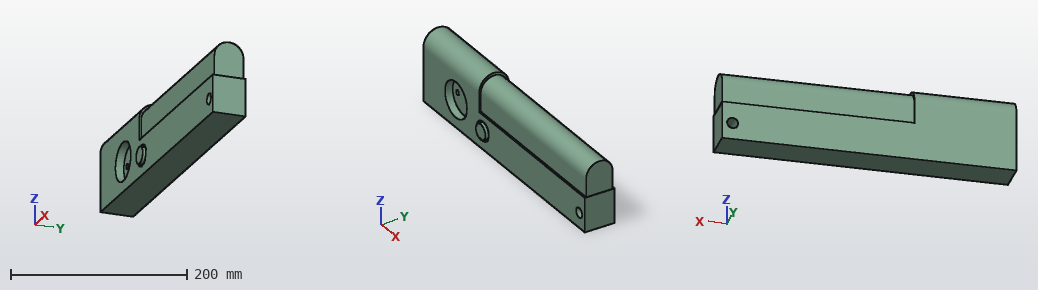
import cadquery as cq

length = 345.0
width = 40.0
height = 91.0

head_length = 119.4
ledge_height = 45.5
ledge_width = 2.2
end_gap = 0.8
handle_length = length - head_length - end_gap
handle_width = width - 2 * ledge_width
handle_height = 87.45

socket_x = 69.9
socket_z = 36.6
socket_diameter = 47.0
socket_taper = 3.0
socket_depth = 10.0
pin_hole_diameter = 6.0
pin_spacing = 25.5
pin_hole_depth = 10.0

button_x = 127.0
button_z = 24.0
button_diameter = 20.25
button_projection = 2.86
recess_diameter = 25.5
recess_depth = 2.0

hanging_hole_x = 332.75
hanging_hole_z = 20.0
hanging_hole_diameter = 12.75

front_y = -width / 2


def rounded_bar(start_x, bar_length, bar_width, bar_height):
    """Bar along X with its base at Z = 0 and a half-round top."""
    half_width = bar_width / 2
    shoulder = bar_height - half_width
    return (
        cq.Workplane("YZ", origin=(start_x, 0, 0))
        .moveTo(-half_width, 0)
        .lineTo(half_width, 0)
        .lineTo(half_width, shoulder)
        .threePointArc((0, bar_height), (-half_width, shoulder))
        .close()
        .extrude(bar_length)
    )


def front_plane(x, y, z):
    """Workplane whose normal points into the part, along +Y."""
    return cq.Workplane(cq.Plane(origin=(x, y, z), xDir=(1, 0, 0), normal=(0, 1, 0)))


def front_cylinder(x, y, z, diameter, depth):
    """Cylinder running from y toward +Y."""
    return front_plane(x, y, z).circle(diameter / 2).extrude(depth)


def make_body():
    head = rounded_bar(0, head_length, width, height)
    base = cq.Workplane("XY").box(length, width, ledge_height, centered=(False, True, False))
    handle = rounded_bar(head_length, handle_length, handle_width, handle_height)
    return head.union(base).union(handle)


def cut_socket(body):
    mouth = front_plane(socket_x, front_y, socket_z).circle(socket_diameter / 2)
    cup = mouth.extrude(socket_depth, taper=socket_taper)
    body = body.cut(cup)
    floor_y = front_y + socket_depth
    for side in (-1, 1):
        pin_x = socket_x + side * pin_spacing / 2
        body = body.cut(front_cylinder(pin_x, floor_y, socket_z, pin_hole_diameter, pin_hole_depth))
    return body


def add_button(body):
    recess = front_cylinder(button_x, front_y, button_z, recess_diameter, recess_depth)
    button_length = button_projection + recess_depth
    button = front_cylinder(
        button_x, front_y - button_projection, button_z, button_diameter, button_length
    )
    return body.cut(recess).union(button)


def cut_hanging_hole(body):
    hole = front_cylinder(hanging_hole_x, front_y, hanging_hole_z, hanging_hole_diameter, width)
    return body.cut(hole)


result = cut_hanging_hole(add_button(cut_socket(make_body())))